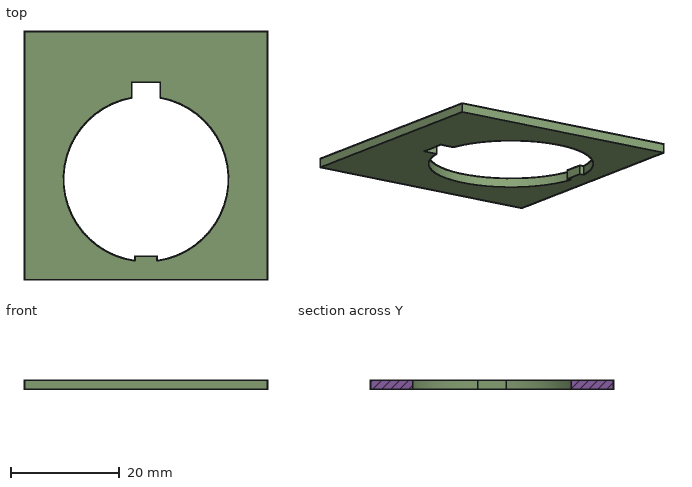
import cadquery as cq

plate_width = 44.8
plate_length = 45.75
plate_thickness = 1.7

opening_diameter = 30.35
opening_center_y = -4.3

notch_width = 5.2
notch_top_y = 13.5

tab_width = 4.05
tab_top_y = -18.5

opening_radius = opening_diameter / 2


def box_between(width, bottom_y, top_y):
    """Full-thickness block centred on X, spanning two Y positions."""
    return (
        cq.Workplane("XY")
        .center(0, (bottom_y + top_y) / 2)
        .box(width, top_y - bottom_y, plate_thickness)
    )


def opening():
    """Round opening with its key notch added and its locating tab taken away."""
    disc = (
        cq.Workplane("XY")
        .center(0, opening_center_y)
        .cylinder(plate_thickness, opening_radius)
    )
    notch = box_between(notch_width, opening_center_y, notch_top_y)
    tab = box_between(tab_width, opening_center_y - opening_radius, tab_top_y)
    return disc.union(notch).cut(tab)


plate = cq.Workplane("XY").box(plate_width, plate_length, plate_thickness)
result = plate.cut(opening())